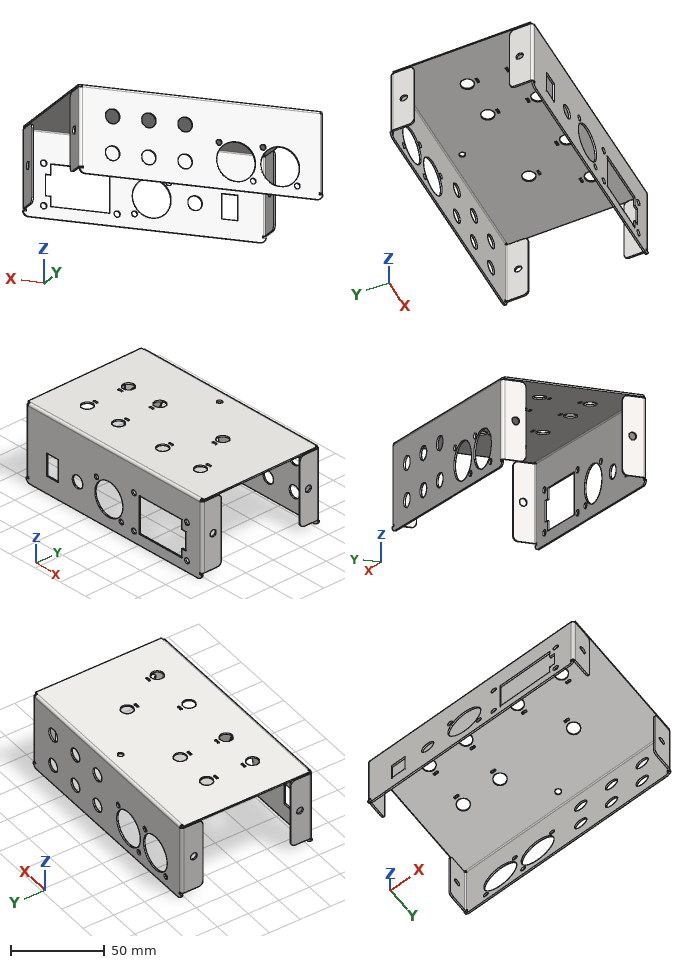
import cadquery as cq

length = 140.0
depth = 85.5
height = 50.0
thickness = 1.0
bend_radius = 1.7
inner_radius = bend_radius - thickness

flange_reach = 14.1
flange_bottom = 3.9
flange_drop = 1.5
flange_top = height - flange_drop
flange_corner_radius = 3.0
flange_hole_diameter = 4.3
flange_hole_y = 34.6
flange_hole_z = 26.2

wall_corner_radius = 3.5
relief_height = 1.0
relief_depth = 2.1

top_hole_diameter = 7.5
key_slot_length = 3.0
key_slot_width = 1.1
key_slot_offset = 6.0
rear_row_y = 9.0
rear_row_x = (-45.0, -20.0, 30.0)
front_row_y = -21.0
front_row_x = (-45.0, -20.0, 15.0, 45.0)
ground_hole_diameter = 3.5
ground_hole_y = 34.0

connector_diameter = 22.3
connector_screw_diameter = 3.2
connector_screw_offset = 9.8

front_center_z = 18.0
switch_x = -49.0
switch_width = 9.2
switch_height = 14.3
front_jack_x = -29.0
jack_diameter = 8.3
front_connector_x = -4.0
display_left = 20.0
display_right = 53.9
display_bottom = 7.0
display_top = 31.0
display_notch_width = 3.1
display_notch_height = 12.0
display_notch_z = 18.8
display_screw_diameter = 3.5
display_screw_x = (15.8, 58.0)

rear_connector_x = (-45.4, -20.0)
rear_connector_z = 16.1
rear_jack_x = (9.2, 30.1, 51.0)
rear_jack_z = (13.0, 33.7)

half_length = length / 2
half_depth = depth / 2


def bent_channel():
    """Top panel and both walls, bent about X, as one inverted U."""
    outside = (
        cq.Workplane("XY")
        .box(length, depth, height, centered=(True, True, False))
        .edges("|X and >Z")
        .fillet(bend_radius)
    )
    inside = (
        cq.Workplane("XY")
        .box(length, depth - 2 * thickness, height - thickness, centered=(True, True, False))
        .edges("|X and >Z")
        .fillet(inner_radius)
    )
    return outside.cut(inside).edges("|Y and <Z").fillet(wall_corner_radius)


def end_block(side_x, side_y, size_x, bottom, top):
    """Block in one vertical corner of the cover, as deep as the bend and size_x long."""
    return (
        cq.Workplane("XY")
        .box(size_x, bend_radius, top - bottom, centered=(True, True, False))
        .translate((side_x * (half_length - size_x / 2), side_y * (half_depth - bend_radius / 2), bottom))
    )


def end_clearance(side_x, side_y):
    """Space at one end of one wall for the flange bend, and the relief slit below it."""
    bend_space = end_block(side_x, side_y, bend_radius, flange_bottom, height)
    slit = end_block(side_x, side_y, relief_depth, flange_bottom - relief_height, flange_bottom)
    return bend_space.union(slit)


def end_flange(side_x, side_y):
    """Flange bent off one end of one wall, with its screw hole."""
    flange_height = flange_top - flange_bottom
    bend_x = half_length - bend_radius
    bend_y = half_depth - bend_radius
    flange_end_y = half_depth - flange_reach
    flange = (
        cq.Workplane("XY", origin=(0, 0, flange_bottom))
        .moveTo(bend_x, half_depth)
        .radiusArc((half_length, bend_y), bend_radius)
        .lineTo(half_length, flange_end_y)
        .lineTo(half_length - thickness, flange_end_y)
        .lineTo(half_length - thickness, bend_y)
        .radiusArc((bend_x, half_depth - thickness), -inner_radius)
        .close()
        .extrude(flange_height)
        .edges("|X and <Y")
        .fillet(flange_corner_radius)
    )
    hole = (
        cq.Workplane("YZ")
        .center(flange_hole_y, flange_hole_z)
        .circle(flange_hole_diameter / 2)
        .extrude(length)
    )
    flange = flange.cut(hole)
    if side_x < 0:
        flange = flange.mirror("YZ")
    if side_y < 0:
        flange = flange.mirror("XZ")
    return flange


def top_holes(points, diameter):
    """Round cutters through the top panel."""
    return (
        cq.Workplane("XY", origin=(0, 0, height - bend_radius))
        .pushPoints(points)
        .circle(diameter / 2)
        .extrude(2 * bend_radius)
    )


def top_slots(points):
    """Rectangular key-slot cutters through the top panel."""
    return (
        cq.Workplane("XY", origin=(0, 0, height - bend_radius))
        .pushPoints(points)
        .rect(key_slot_length, key_slot_width)
        .extrude(2 * bend_radius)
    )


def wall_plane(side_y):
    """X-Z sketch plane on the outer face of the front (-1) or rear (+1) wall."""
    return cq.Workplane("XZ", origin=(0, side_y * half_depth, 0))


def wall_holes(side_y, points, diameter):
    """Round cutters through one wall."""
    return wall_plane(side_y).pushPoints(points).circle(diameter / 2).extrude(bend_radius, both=True)


def connector(side_y, x, z):
    """Connector opening; the upper screw is on the left as seen from outside the wall."""
    offset_x = side_y * connector_screw_offset
    screws = [
        (x + offset_x, z + connector_screw_offset),
        (x - offset_x, z - connector_screw_offset),
    ]
    opening = wall_holes(side_y, [(x, z)], connector_diameter)
    return opening.union(wall_holes(side_y, screws, connector_screw_diameter))


def rectangle(side_y, left, right, bottom, top):
    """Rectangular cutter through one wall."""
    return (
        wall_plane(side_y)
        .center((left + right) / 2, (bottom + top) / 2)
        .rect(right - left, top - bottom)
        .extrude(bend_radius, both=True)
    )


result = bent_channel()
for side_x in (-1, 1):
    for side_y in (-1, 1):
        result = result.cut(end_clearance(side_x, side_y)).union(end_flange(side_x, side_y))

rear_row = [(x, rear_row_y) for x in rear_row_x]
front_row = [(x, front_row_y) for x in front_row_x]
rear_slots = [(x, rear_row_y - key_slot_offset) for x in rear_row_x]
front_slots = [(x, front_row_y + key_slot_offset) for x in front_row_x]
result = result.cut(top_holes(rear_row + front_row, top_hole_diameter))
result = result.cut(top_holes([(0, ground_hole_y)], ground_hole_diameter))
result = result.cut(top_slots(rear_slots + front_slots))

switch = rectangle(
    -1,
    switch_x - switch_width / 2,
    switch_x + switch_width / 2,
    front_center_z - switch_height / 2,
    front_center_z + switch_height / 2,
)
display = rectangle(-1, display_left, display_right, display_bottom, display_top)
display_notch = rectangle(
    -1,
    display_left,
    display_right + display_notch_width,
    display_notch_z - display_notch_height / 2,
    display_notch_z + display_notch_height / 2,
)
display_screws = [(x, z) for x in display_screw_x for z in (display_bottom, display_top)]
result = result.cut(switch).cut(display).cut(display_notch)
result = result.cut(wall_holes(-1, display_screws, display_screw_diameter))
result = result.cut(wall_holes(-1, [(front_jack_x, front_center_z)], jack_diameter))
result = result.cut(connector(-1, front_connector_x, front_center_z))

for x in rear_connector_x:
    result = result.cut(connector(1, x, rear_connector_z))
rear_jacks = [(x, z) for x in rear_jack_x for z in rear_jack_z]
result = result.cut(wall_holes(1, rear_jacks, jack_diameter))